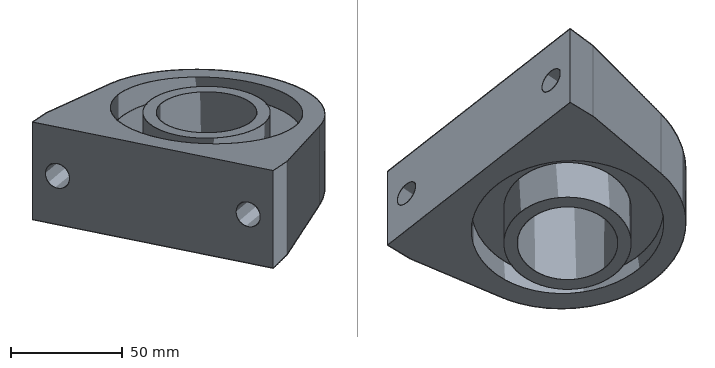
import cadquery as cq
import math

base_width = 120.0
face_height = 47.8
back_height = 31.9
length = 106.9
total_height = 54.2
round_radius = 52.9
flat_side_length = 14.0
bore_y = length - round_radius

seat_radius = 43.0
ring_radius = 28.5
bore_radius = 22.5
ring_recess = 4.9
ring_top = face_height / 2 - ring_recess
ring_bottom = face_height / 2 - total_height
web_half_height = 7.9

hole_diameter = 12.0
hole_spacing = 95.0
hole_depth = 24.0


def cylinder(radius, bottom, top):
    """Upright cylinder about the bearing axis."""
    return cq.Workplane("XY", origin=(0, bore_y, bottom)).circle(radius).extrude(top - bottom)


def housing_outline():
    """Plan shape: short straight sides, then flanks tangent to the rounded end."""
    half_width = base_width / 2
    drop = bore_y - flat_side_length
    corner_distance = math.hypot(half_width, drop)
    tangent_angle = math.acos(round_radius / corner_distance) - math.atan2(drop, half_width)
    tangent_x = round_radius * math.cos(tangent_angle)
    tangent_y = bore_y + round_radius * math.sin(tangent_angle)
    return (
        cq.Workplane("XY", origin=(0, 0, -face_height / 2))
        .moveTo(-half_width, 0)
        .lineTo(half_width, 0)
        .lineTo(half_width, flat_side_length)
        .lineTo(tangent_x, tangent_y)
        .threePointArc((0, length), (-tangent_x, tangent_y))
        .lineTo(-half_width, flat_side_length)
        .close()
    )


def side_wedge():
    """Side profile tapering from the mounting face to the rounded end."""
    return (
        cq.Workplane("YZ")
        .moveTo(0, -face_height / 2)
        .lineTo(length, -back_height / 2)
        .lineTo(length, back_height / 2)
        .lineTo(0, face_height / 2)
        .close()
        .extrude(base_width / 2, both=True)
    )


housing = housing_outline().extrude(face_height).intersect(side_wedge())

seat = cylinder(seat_radius, -face_height / 2, face_height / 2)
web = cylinder(seat_radius, -web_half_height, web_half_height)
ring = cylinder(ring_radius, ring_bottom, ring_top)
bore = cylinder(bore_radius, ring_bottom, ring_top)
body = housing.cut(seat).union(web).union(ring).cut(bore)

mounting_holes = (
    cq.Workplane("XZ")
    .pushPoints([(-hole_spacing / 2, 0), (hole_spacing / 2, 0)])
    .circle(hole_diameter / 2)
    .extrude(-hole_depth)
)

result = body.cut(mounting_holes)